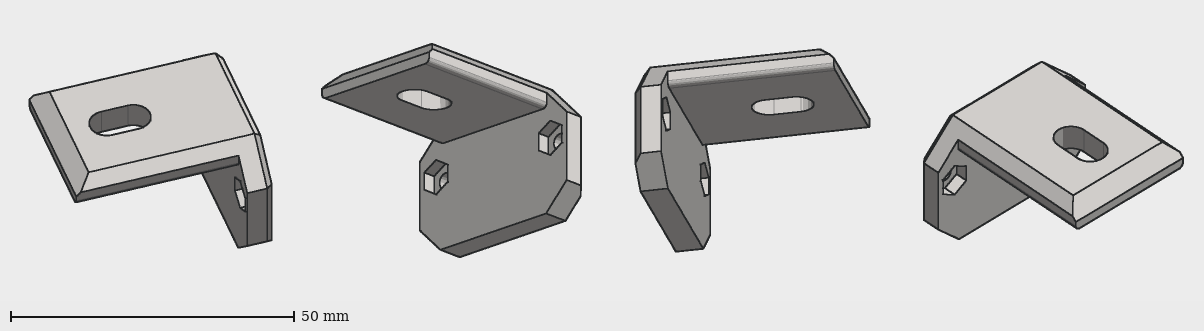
import cadquery as cq

plate_width = 35.7
plate_height = 25.0
plate_thickness = 5.0
upper_corner = 7.05
lower_corner = 5.0
back_chamfer = 1.3

overall_depth = 35.2
shelf_width = 26.05
shelf_thickness = 5.0
shelf_end_chamfer = 3.05
shelf_edge_radius = 1.0

hole_diameter = 3.0
hole_offset = 13.9
hole_drop = 10.95
nut_corner_diameter = 6.55
nut_pocket_depth = 2.5

slot_width = 6.2
slot_length = 11.15
slot_setback = 22.67

back_y = plate_thickness
shelf_end_y = back_y - overall_depth
half_width = plate_width / 2
shelf_bottom_z = plate_height - shelf_thickness
selection_margin = 0.35


def plate_outline(plane):
    """Eight-sided plate outline on the given XZ plane."""
    points = [
        (half_width - lower_corner, 0),
        (half_width, lower_corner),
        (half_width, plate_height - upper_corner),
        (half_width - upper_corner, plate_height),
        (-half_width + upper_corner, plate_height),
        (-half_width, plate_height - upper_corner),
        (-half_width, lower_corner),
        (-half_width + lower_corner, 0),
    ]
    return plane.polyline(points).close()


def make_plate():
    """Plate chamfered around its back face, except along the lower edges."""
    plate = plate_outline(cq.Workplane("XZ")).extrude(-plate_thickness)
    chamfered_edges = (
        plate.faces(">Y").edges(
            cq.selectors.BoxSelector(
                (-plate_width, back_y - selection_margin, lower_corner),
                (plate_width, back_y + selection_margin, plate_height + selection_margin),
            )
        )
    )
    return chamfered_edges.chamfer(back_chamfer)


def make_shelf():
    """Shelf with rounded lower edges, trimmed to the plate's sloping corners."""
    shelf = (
        cq.Workplane("XY", origin=(0, shelf_end_y, shelf_bottom_z))
        .box(shelf_width, -shelf_end_y, shelf_thickness, centered=(True, False, False))
        .faces("<Z").edges("|Y").fillet(shelf_edge_radius)
        .faces("<Y").edges(">Z").chamfer(shelf_end_chamfer)
    )
    envelope = plate_outline(cq.Workplane("XZ")).extrude(-shelf_end_y)
    return shelf.intersect(envelope)


def make_nut_seats():
    """Screw holes through the plate, with nut pockets in its inner face."""
    hole_z = plate_height - hole_drop
    centres = [(-hole_offset, hole_z), (hole_offset, hole_z)]
    holes = (
        cq.Workplane("XZ").pushPoints(centres)
        .circle(hole_diameter / 2).extrude(-plate_thickness)
    )
    pockets = cq.Workplane("XZ")
    for x, z in centres:
        pocket = (
            cq.Workplane("XZ").polygon(6, nut_corner_diameter).extrude(-nut_pocket_depth)
            .rotate((0, 0, 0), (0, 1, 0), 90)
            .translate((x, 0, z))
        )
        pockets = pockets.add(pocket)
    return holes.union(pockets.combine())


def make_slot():
    """Slot cutter running along Y."""
    return (
        cq.Workplane("XY", origin=(0, back_y - slot_setback, shelf_bottom_z))
        .slot2D(slot_length, slot_width, 90).extrude(shelf_thickness)
    )


bracket = make_plate().union(make_shelf())
result = bracket.cut(make_nut_seats()).cut(make_slot())